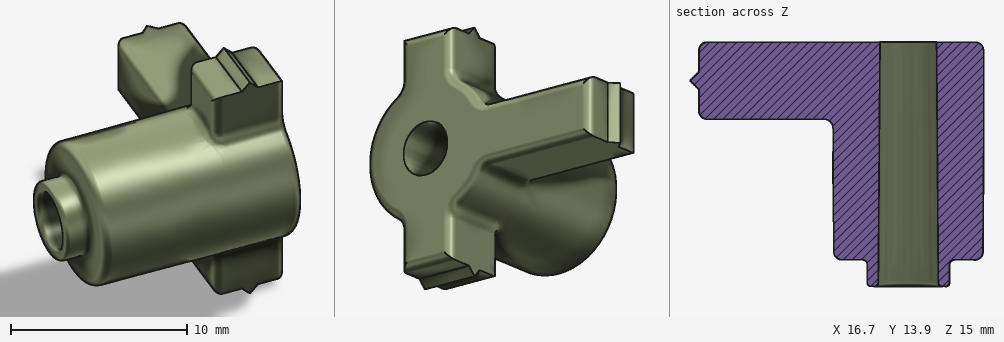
import cadquery as cq
import math

BODY_RADIUS = 4.3
BODY_FRONT_RADIUS = 4.25
BODY_LENGTH = 12.4
NECK_RADIUS = 2.35
NECK_LENGTH = 1.5
BORE_BACK_RADIUS = 1.6
BORE_FRONT_RADIUS = 1.7

ARM_THICKNESS = 4.4
ARM_WIDTH = 3.6
LONG_ARM_TIP = 12.4
SHORT_ARM_TIP = 7.5
RIDGE_HEIGHT = 0.5

EDGE_ROUND = 0.5
ROOT_SIDE_FILLET = 1.0
ROOT_FRONT_FILLET = 0.5
NECK_ROUND = 0.24

BACK_Y = ARM_THICKNESS / 2
ARM_FRONT_Y = -ARM_THICKNESS / 2
BODY_FRONT_Y = BACK_Y - BODY_LENGTH
NECK_FRONT_Y = BODY_FRONT_Y - NECK_LENGTH

ARMS = ((LONG_ARM_TIP, 0), (SHORT_ARM_TIP, 90), (SHORT_ARM_TIP, -90))

TOLERANCE = 0.01


def turn_about_bore(shape, angle):
    return shape.rotate((0, 0, 0), (0, 1, 0), angle)


def revolve_about_bore(radius_and_y):
    """Solid of revolution about Y through (radius, y) points listed from back to front."""
    back_y = radius_and_y[0][1]
    front_y = radius_and_y[-1][1]
    outline = [(0, back_y), *radius_and_y, (0, front_y)]
    return cq.Workplane("XY").polyline(outline).close().revolve(360, (0, 0, 0), (0, 1, 0))


def make_hub():
    """Straight collar as deep as the arms, then a slight draft toward the front."""
    return revolve_about_bore([
        (BODY_RADIUS, BACK_Y),
        (BODY_RADIUS, ARM_FRONT_Y),
        (BODY_FRONT_RADIUS, BODY_FRONT_Y),
    ])


def make_neck():
    """Short spigot on the front of the hub, reaching back inside it to the arms."""
    return revolve_about_bore([(NECK_RADIUS, ARM_FRONT_Y), (NECK_RADIUS, NECK_FRONT_Y)])


def make_bore():
    """Through bore, narrowing slightly from front to back."""
    return revolve_about_bore([(BORE_BACK_RADIUS, BACK_Y), (BORE_FRONT_RADIUS, NECK_FRONT_Y)])


def make_arm(tip, angle):
    """Rectangular arm with its front edges rounded, without the ridge on its end."""
    end = tip - RIDGE_HEIGHT
    arm = cq.Workplane("XY").box(end, ARM_THICKNESS, ARM_WIDTH).translate((-end / 2, 0, 0))
    arm = arm.faces("<Y").edges("not >X").fillet(EDGE_ROUND)
    return turn_about_bore(arm, angle)


def make_ridge(tip, angle):
    """45 degree ridge across the end of an arm; its inner half is buried in the arm."""
    end = tip - RIDGE_HEIGHT
    ridge = (
        cq.Workplane("XY")
        .polyline([(-end, RIDGE_HEIGHT), (-tip, 0), (-end, -RIDGE_HEIGHT), (RIDGE_HEIGHT - end, 0)])
        .close()
        .extrude(ARM_WIDTH / 2, both=True)
    )
    return turn_about_bore(ridge, angle)


def lies_on_collar(edge):
    points = [edge.positionAt(t) for t in (0, 0.5, 1)]
    return all(abs(math.hypot(p.x, p.z) - BODY_RADIUS) < TOLERANCE for p in points)


def is_root_side(edge):
    """Straight edge where the flat side of an arm enters the collar."""
    middle = edge.Center()
    offset_from_arm_axis = min(abs(middle.x), abs(middle.z))
    return edge.geomType() == "LINE" and abs(offset_from_arm_axis - ARM_WIDTH / 2) < TOLERANCE


def is_root_front(edge):
    """Short arc where the flat front of an arm enters the hub."""
    at_arm_front = abs(edge.Center().y - ARM_FRONT_Y) < TOLERANCE
    return edge.geomType() == "CIRCLE" and at_arm_front and edge.Length() < ARM_WIDTH


def fillet_arm_roots(part):
    """Blend the arms into the hub: large fillets at the sides easing into smaller ones in front."""
    root_edges = [edge for edge in part.edges().vals() if lies_on_collar(edge)]
    blend = cq.occ_impl.shapes.BRepFilletAPI_MakeFillet(part.val().wrapped)
    for edge in filter(is_root_side, root_edges):
        blend.Add(ROOT_SIDE_FILLET, edge.wrapped)
    for edge in filter(is_root_front, root_edges):
        blend.Add(ROOT_FRONT_FILLET, edge.wrapped)
    return part.newObject([cq.Shape.cast(blend.Shape())])


def fillet_neck_base(part):
    base = cq.selectors.BoxSelector(
        (-BODY_RADIUS, BODY_FRONT_Y - TOLERANCE, -BODY_RADIUS),
        (BODY_RADIUS, BODY_FRONT_Y + TOLERANCE, BODY_RADIUS),
        boundingbox=True,
    )
    inner_circle = cq.selectors.RadiusNthSelector(0)
    return part.edges(base).edges(inner_circle).fillet(NECK_ROUND)


result = make_hub()
for arm_tip, arm_angle in ARMS:
    result = result.union(make_arm(arm_tip, arm_angle))
result = fillet_arm_roots(result)
result = result.faces(">Y").edges().fillet(EDGE_ROUND)
result = result.faces("<Y").edges().fillet(EDGE_ROUND)

for arm_tip, arm_angle in ARMS:
    result = result.union(make_ridge(arm_tip, arm_angle))

result = result.union(make_neck())
result = result.cut(make_bore())
result = result.faces("<Y").edges().fillet(NECK_ROUND)
result = fillet_neck_base(result)